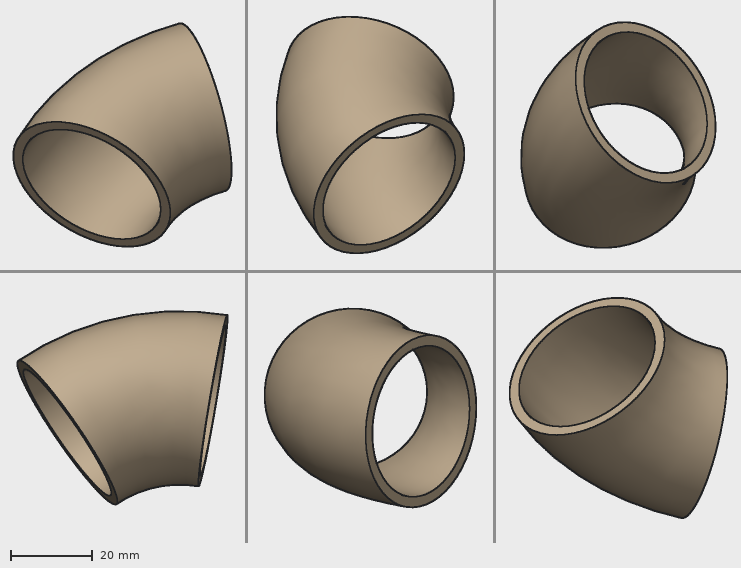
import cadquery as cq

outer_diameter = 42.4
wall_thickness = 2.6
bend_radius = 47.55
bend_angle = 45.0

outer_radius = outer_diameter / 2
inner_radius = outer_radius - wall_thickness

pipe_section = cq.Workplane("XZ").circle(outer_radius).circle(inner_radius)

bend_axis_start = (bend_radius, 0, 0)
bend_axis_end = (bend_radius, -1, 0)
result = pipe_section.revolve(bend_angle, bend_axis_start, bend_axis_end)